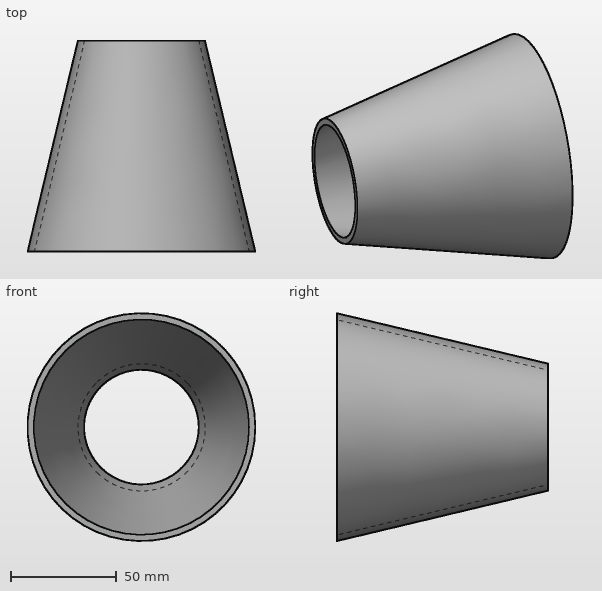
import cadquery as cq

wide_diameter = 108.0
narrow_diameter = 60.3
length = 100.0
wall = 3.0

wide_radius = wide_diameter / 2
narrow_radius = narrow_diameter / 2

wall_section = (
    cq.Workplane("XY")
    .moveTo(wide_radius - wall, 0)
    .lineTo(wide_radius, 0)
    .lineTo(narrow_radius, length)
    .lineTo(narrow_radius - wall, length)
    .close()
)

result = wall_section.revolve(360, (0, 0, 0), (0, 1, 0))